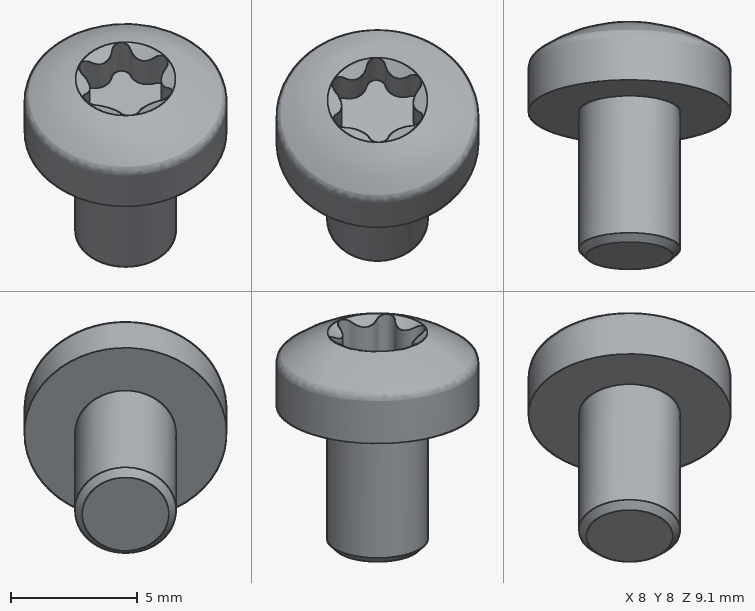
import cadquery as cq
import math

overall_height = 9.1
head_radius = 8.0 / 2
dome_radius = 6.41
edge_fillet = 0.41
shank_radius = 2.0
shank_length = 6.0
tip_chamfer = 0.29

lobe_count = 6
rim_radius = 1.975
rim_cone_angle = 30.0
lobe_tip_radius = 1.97
valley_radius = 1.42
lobe_arc_radius = 0.38
recess_depth = 1.665

dome_centre_z = overall_height - math.sqrt(dome_radius**2 - rim_radius**2)
lobe_pitch = 2 * math.pi / lobe_count
lobe_centre_radius = lobe_tip_radius - lobe_arc_radius
lobe_projection = lobe_centre_radius * math.cos(lobe_pitch / 2)
valley_arc_radius = (
    lobe_centre_radius**2 + valley_radius**2 - 2 * lobe_projection * valley_radius - lobe_arc_radius**2
) / (2 * (lobe_arc_radius + lobe_projection - valley_radius))
valley_centre_radius = valley_radius + valley_arc_radius


def polar(radius, angle):
    """XY point at a given radius and angle in radians."""
    return (radius * math.cos(angle), radius * math.sin(angle))


def tangent_point(lobe_angle, side):
    """Where a lobe arc meets the valley arc on its clockwise (-1) or anticlockwise (+1) side."""
    lobe_x, lobe_y = polar(lobe_centre_radius, lobe_angle)
    valley_x, valley_y = polar(valley_centre_radius, lobe_angle + side * lobe_pitch / 2)
    fraction = lobe_arc_radius / (lobe_arc_radius + valley_arc_radius)
    return (lobe_x + fraction * (valley_x - lobe_x), lobe_y + fraction * (valley_y - lobe_y))


def make_lobe_socket():
    """Star-shaped prism that forms the straight walls of the drive recess."""
    first_angle = math.pi / 2
    outline = cq.Workplane("XY", origin=(0, 0, overall_height - recess_depth))
    outline = outline.moveTo(*tangent_point(first_angle, -1))
    for i in range(lobe_count):
        angle = first_angle + i * lobe_pitch
        next_angle = angle + lobe_pitch
        outline = outline.threePointArc(polar(lobe_tip_radius, angle), tangent_point(angle, 1))
        outline = outline.threePointArc(
            polar(valley_radius, angle + lobe_pitch / 2), tangent_point(next_angle, -1)
        )
    return outline.close().extrude(recess_depth)


def make_lead_in_cone():
    """Shallow cone that opens the recess out to its round rim."""
    cone_depth = rim_radius * math.tan(math.radians(rim_cone_angle))
    return (
        cq.Workplane("XZ")
        .moveTo(0, overall_height)
        .lineTo(rim_radius, overall_height)
        .lineTo(0, overall_height - cone_depth)
        .close()
        .revolve(360, (0, 0, 0), (0, 1, 0))
    )


def make_head():
    """Domed head with a rounded edge and a six-lobe recess."""
    dome_edge_z = dome_centre_z + math.sqrt(dome_radius**2 - head_radius**2)
    arc_mid_radius = (rim_radius + head_radius) / 2
    arc_mid_z = dome_centre_z + math.sqrt(dome_radius**2 - arc_mid_radius**2)
    blank = (
        cq.Workplane("XZ")
        .moveTo(0, shank_length)
        .lineTo(head_radius, shank_length)
        .lineTo(head_radius, dome_edge_z)
        .threePointArc((arc_mid_radius, arc_mid_z), (rim_radius, overall_height))
        .lineTo(0, overall_height)
        .close()
        .revolve(360, (0, 0, 0), (0, 1, 0))
    )
    dome_edge = cq.selectors.BoxSelector(
        (-head_radius, -head_radius, dome_edge_z - edge_fillet),
        (head_radius, head_radius, dome_edge_z + edge_fillet),
    )
    blank = blank.edges("%CIRCLE").edges(dome_edge).fillet(edge_fillet)
    return blank.cut(make_lead_in_cone()).cut(make_lobe_socket())


def make_shank():
    """Plain cylindrical shank with a chamfered tip, butting against the underside of the head."""
    return cq.Workplane("XY").circle(shank_radius).extrude(shank_length).faces("<Z").chamfer(tip_chamfer)


head = make_head()
shank = make_shank()

result = cq.Compound.makeCompound([head.val(), shank.val()])